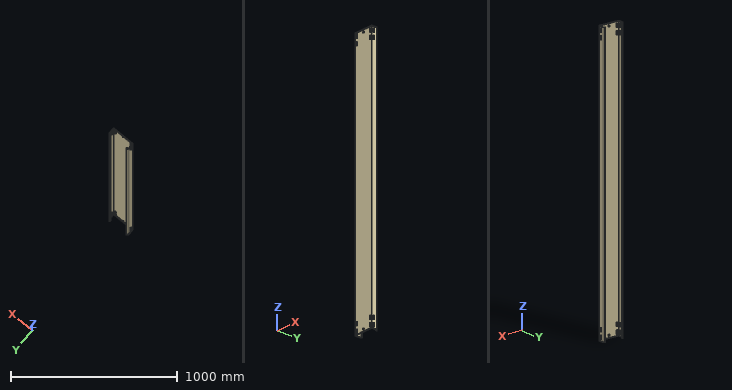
import cadquery as cq
import math

width = 150.0
height = 50.0
length = 2000.0
sheet = 1.0

slope_angle = 50.0
lip_inset = 11.0
lip_drop = 8.0
wall_bend_radius = 8.0
lip_bend_radius = 1.2

slot_width = 7.0
slot_length = 25.0
slot_pitch = 48.0
first_slot = 25.0
base_slot_edge = 15.0
wall_slot_edge = 17.0
end_hole_diameter = 8.0
end_hole_inset = 18.0

half_width = width / 2
front_y = -height / 2
back_y = height / 2

slope = math.radians(slope_angle)
lip_half_angle = slope / 2
corner_rise = lip_bend_radius * (1 / math.tan(lip_half_angle) - 1)
corner_y = back_y + corner_rise
lip_x = half_width - lip_inset
bend_y = corner_y - lip_inset / math.tan(slope)
inner_bend = (half_width - sheet, bend_y - sheet * math.tan(slope / 2))
inner_corner = (lip_x + sheet, corner_y - sheet / math.tan(lip_half_angle))


def round_edge(solid, point, radius):
    """Round the lengthwise edge that passes through a point of the cross-section."""
    middle = (point[0], point[1], length / 2)
    return solid.edges("|Z").edges(cq.NearestToPointSelector(middle)).fillet(radius)


def wall():
    """The wall on the +X side with its folded rim."""
    outline = [
        (half_width, front_y),
        (half_width, bend_y),
        (lip_x, corner_y),
        (lip_x, back_y - lip_drop),
        (lip_x + sheet, back_y - lip_drop),
        inner_corner,
        inner_bend,
        (half_width - sheet, front_y),
    ]
    solid = cq.Workplane("XY").polyline(outline).close().extrude(length)
    solid = round_edge(solid, (half_width, bend_y), wall_bend_radius)
    solid = round_edge(solid, inner_bend, wall_bend_radius - sheet)
    solid = round_edge(solid, (lip_x, corner_y), lip_bend_radius)
    return round_edge(solid, inner_corner, lip_bend_radius - sheet)


def both_ends(distance):
    """Heights of a feature that repeats at the same distance from each end."""
    return [distance, length - distance]


def slots(plane, positions, reach):
    """Lengthwise obround cutters, reaching equally far to both sides of a plane."""
    cutter = cq.Workplane(plane).pushPoints(positions)
    return cutter.slot2D(slot_length, slot_width, 90).extrude(reach, both=True)


base = cq.Workplane("XY").rect(width, sheet).extrude(length).translate((0, front_y + sheet / 2, 0))
right_wall = wall()
tray = base.union(right_wall).union(right_wall.mirror("YZ"))

slot_heights = both_ends(first_slot) + both_ends(first_slot + slot_pitch)
base_slot_x = half_width - base_slot_edge
base_positions = [(x, z) for x in (-base_slot_x, base_slot_x) for z in slot_heights]
base_slots = slots("XZ", base_positions, sheet).translate((0, front_y, 0))
wall_slots = slots("YZ", [(front_y + wall_slot_edge, z) for z in slot_heights], width)

hole_positions = [(0, z) for z in both_ends(end_hole_inset)]
end_holes = (
    cq.Workplane("XZ", origin=(0, front_y, 0))
    .pushPoints(hole_positions)
    .circle(end_hole_diameter / 2)
    .extrude(sheet, both=True)
)

result = tray.cut(base_slots).cut(wall_slots).cut(end_holes)